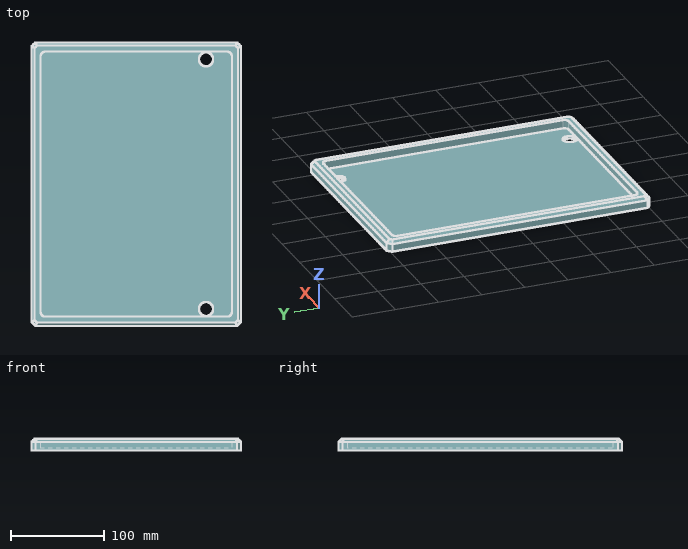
import cadquery as cq

width = 225.5
length = 304.8
height = 12.8
corner_chamfer = 4.5
top_chamfer = 3.7

rim = 10.0
recess_depth = 9.8
recess_corner_radius = 5.0

hole_diameter = 15.0
hole_x = 75.0
hole_y = 134.0


def make_body():
    """Plate with bevelled vertical corners and a bevelled top edge."""
    body = cq.Workplane("XY").box(width, length, height, centered=(True, True, False))
    body = body.edges("|Z").chamfer(corner_chamfer)
    return body.faces(">Z").edges().chamfer(top_chamfer)


def make_recess():
    """Round-cornered pocket open at the top."""
    recess = (
        cq.Workplane("XY")
        .workplane(offset=height - recess_depth)
        .rect(width - 2 * rim, length - 2 * rim)
        .extrude(recess_depth)
    )
    return recess.edges("|Z").fillet(recess_corner_radius)


def make_holes():
    """Cylinders for the two through holes, mirrored about the X axis."""
    centers = [(hole_x, side * hole_y) for side in (-1, 1)]
    return cq.Workplane("XY").pushPoints(centers).circle(hole_diameter / 2).extrude(height)


result = make_body().cut(make_recess()).cut(make_holes())